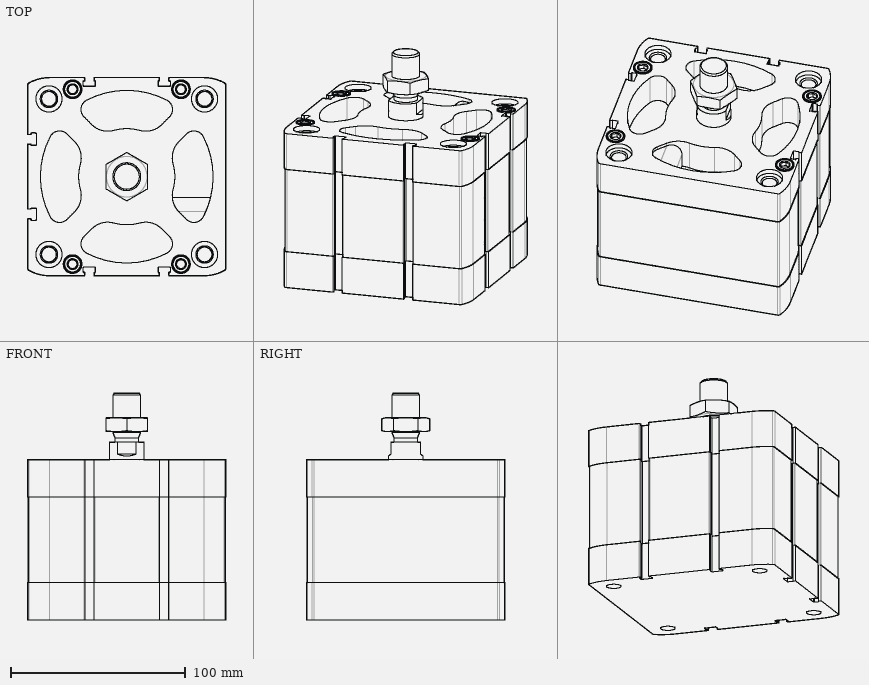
import cadquery as cq
import math

HEX_CORNER_RATIO = 2 / math.sqrt(3)

CAP_WIDTH = 113.5
CAP_HEIGHT = 21.4
BARREL_HEIGHT = 49.0
BARREL_INSET = 0.4
HOUSING_HEIGHT = 2 * CAP_HEIGHT + BARREL_HEIGHT
CORNER_START = 44.3
CORNER_RADIUS = 24.0
CORNER_EDGE_FILLET = 1.6

SLOT_NECK_INNER = 18.6
SLOT_NECK_OUTER = 24.0
SLOT_INNER = 18.1
SLOT_OUTER = 25.0
SLOT_LIP = 1.6
SLOT_DEPTH = 5.0
SLOT_CORNER_CHAMFER = 0.5
SLOT_LIP_ROUND = 0.5

POCKET_OUTER_RADIUS = 49.4
POCKET_INNER_RADIUS = 27.5
POCKET_DEPTH = 18.7
RIB_HALF_WIDTH = 6.9
POCKET_OUTER_FILLET = 6.0
POCKET_INNER_FILLET = 13.0

PORT_Y = -20.0
PORT_BOSS_RADIUS = 8.0
PORT_BOSS_DROP = 2.0

MOUNT_PITCH = 89.0
MOUNT_HOLE_DIAMETER = 8.38
MOUNT_SINK_DIAMETER = 10.0
MOUNT_BORE_DIAMETER = 15.0
MOUNT_BORE_DEPTH = 3.0

SCREW_X = 31.0
SCREW_Y = 50.0
SCREW_RECESS_DIAMETER = 10.7
SCREW_HEAD_DIAMETER = 10.0
SCREW_HEAD_CHAMFER = 0.5
SOCKET_MOUTH_DIAMETER = 6.2
SOCKET_FLATS = 5.0
SOCKET_DEPTH = 3.0
DRILL_POINT_ANGLE = 140.0

ROD_DIAMETER = 20.0
ROD_EXPOSED = 10.0
ROD_FLATS = 17.0
ROD_FLAT_LENGTH = 6.8
ROD_FLAT_RUNOUT_ANGLE = 36.0
THREAD_DIAMETER = 16.0
THREAD_CORE_DIAMETER = 14.38
THREAD_LENGTH = 28.0
UNDERCUT_DIAMETER = 13.5
UNDERCUT_LENGTH = 2.5
FLARE_LENGTH = 3.0
THREAD_END_CHAMFER = 1.1

NUT_FLATS = 24.0
NUT_HEIGHT = 8.0
NUT_GAP = 6.0
NUT_TOP_RADIUS = 11.6
NUT_CHAMFER_ANGLE = 15.0

ROD_BASE_Z = HOUSING_HEIGHT - CAP_HEIGHT
ROD_SHOULDER_Z = HOUSING_HEIGHT + ROD_EXPOSED
NUT_Z = ROD_SHOULDER_Z + NUT_GAP


def block(inset, z, height):
    """Square block whose corners are shallow arcs tangent to the +-Y faces, set in from the caps."""
    half_width = CAP_WIDTH / 2 - inset
    corner_radius = CORNER_RADIUS - inset
    arc_center_y = half_width - corner_radius
    end_y = arc_center_y + math.sqrt(corner_radius**2 - (half_width - CORNER_START) ** 2)
    solid = (
        cq.Workplane("XY", origin=(0, 0, z))
        .moveTo(-CORNER_START, half_width)
        .lineTo(CORNER_START, half_width)
        .radiusArc((half_width, end_y), corner_radius)
        .lineTo(half_width, -end_y)
        .radiusArc((CORNER_START, -half_width), corner_radius)
        .lineTo(-CORNER_START, -half_width)
        .radiusArc((-half_width, -end_y), corner_radius)
        .lineTo(-half_width, end_y)
        .radiusArc((-CORNER_START, half_width), corner_radius)
        .close()
        .extrude(height)
    )
    edge_points = [(sx * half_width, sy * end_y, z + height / 2) for sx in (-1, 1) for sy in (-1, 1)]
    for point in edge_points:
        solid = solid.edges(cq.selectors.NearestToPointSelector(point)).fillet(CORNER_EDGE_FILLET - inset)
    return solid


def sensor_slot(inset, z, height, round_inner_lip):
    """Undercut groove in the +Y face, on its +X half, for a section set in from the caps."""
    face = CAP_WIDTH / 2 - inset
    lip = face - SLOT_LIP
    floor = face - SLOT_DEPTH
    outline = cq.Workplane("XY", origin=(0, 0, z))
    if round_inner_lip:
        outline = outline.moveTo(SLOT_NECK_INNER - SLOT_LIP_ROUND, face)
        outline = outline.radiusArc((SLOT_NECK_INNER, face - SLOT_LIP_ROUND), SLOT_LIP_ROUND)
    else:
        outline = outline.moveTo(SLOT_NECK_INNER, face)
    return (
        outline.lineTo(SLOT_NECK_INNER, lip)
        .lineTo(SLOT_INNER, lip)
        .lineTo(SLOT_INNER, floor)
        .lineTo(SLOT_OUTER - SLOT_CORNER_CHAMFER, floor)
        .lineTo(SLOT_OUTER, floor + SLOT_CORNER_CHAMFER)
        .lineTo(SLOT_OUTER, lip - SLOT_CORNER_CHAMFER)
        .lineTo(SLOT_NECK_OUTER, lip)
        .lineTo(SLOT_NECK_OUTER, face - SLOT_LIP_ROUND)
        .radiusArc((SLOT_NECK_OUTER + SLOT_LIP_ROUND, face), SLOT_LIP_ROUND)
        .close()
        .extrude(height)
    )


def housing_section(inset, z, height, round_inner_lip):
    """Slotted length of the housing; the +X face has no slots."""
    section = block(inset, z, height)
    slot = sensor_slot(inset, z, height, round_inner_lip)
    mirrored_slot = slot.mirror("YZ")
    for angle in (0, 90, 180):
        section = section.cut(slot.rotate((0, 0, 0), (0, 0, 1), angle))
        section = section.cut(mirrored_slot.rotate((0, 0, 0), (0, 0, 1), angle))
    return section


def inner_corner():
    """Where a rib wall meets the inner circle of a pocket."""
    along = math.sqrt(POCKET_INNER_RADIUS**2 - RIB_HALF_WIDTH**2)
    return (along - RIB_HALF_WIDTH) / math.sqrt(2), (along + RIB_HALF_WIDTH) / math.sqrt(2)


def pocket():
    """Kidney pocket on the +Y side."""
    base_z = HOUSING_HEIGHT - POCKET_DEPTH
    ring = (
        cq.Workplane("XY", origin=(0, 0, base_z))
        .circle(POCKET_OUTER_RADIUS)
        .circle(POCKET_INNER_RADIUS)
        .extrude(POCKET_DEPTH)
    )
    apex = RIB_HALF_WIDTH * math.sqrt(2)
    reach = CAP_WIDTH
    wedge = (
        cq.Workplane("XY", origin=(0, 0, base_z))
        .polyline([(0, apex), (reach, apex + reach), (-reach, apex + reach)])
        .close()
        .extrude(POCKET_DEPTH)
    )
    sector = ring.intersect(wedge)
    sector = sector.edges("|Z").edges("<X or >X").fillet(POCKET_OUTER_FILLET)
    corner_x, corner_y = inner_corner()
    for side in (-1, 1):
        corner = (side * corner_x, corner_y, HOUSING_HEIGHT - POCKET_DEPTH / 2)
        sector = sector.edges(cq.selectors.NearestToPointSelector(corner)).fillet(POCKET_INNER_FILLET)
    return sector


def port_boss():
    """Material kept in the +X pocket: a round-shouldered step reaching to the pocket's -Y end."""
    base_z = HOUSING_HEIGHT - POCKET_DEPTH
    top_z = HOUSING_HEIGHT - PORT_BOSS_DROP
    return (
        cq.Workplane("YZ")
        .moveTo(PORT_Y + PORT_BOSS_RADIUS, base_z)
        .lineTo(PORT_Y + PORT_BOSS_RADIUS, top_z - PORT_BOSS_RADIUS)
        .radiusArc((PORT_Y, top_z), -PORT_BOSS_RADIUS)
        .lineTo(-CAP_WIDTH / 2, top_z)
        .lineTo(-CAP_WIDTH / 2, base_z)
        .close()
        .extrude(CAP_WIDTH / 2)
    )


def mounting_hole():
    """Stepped through hole on the Z axis."""
    seat_z = HOUSING_HEIGHT - MOUNT_BORE_DEPTH
    sink = (MOUNT_SINK_DIAMETER - MOUNT_HOLE_DIAMETER) / 2
    return (
        cq.Workplane("XZ")
        .moveTo(0, 0)
        .lineTo(MOUNT_HOLE_DIAMETER / 2, 0)
        .lineTo(MOUNT_HOLE_DIAMETER / 2, seat_z - sink)
        .lineTo(MOUNT_SINK_DIAMETER / 2, seat_z)
        .lineTo(MOUNT_BORE_DIAMETER / 2, seat_z)
        .lineTo(MOUNT_BORE_DIAMETER / 2, HOUSING_HEIGHT)
        .lineTo(0, HOUSING_HEIGHT)
        .close()
        .revolve(360, (0, 0), (0, 1))
    )


def screw_relief():
    """Cut on the Z axis that leaves a chamfered screw head with a hex socket."""
    top = HOUSING_HEIGHT
    head_radius = SCREW_HEAD_DIAMETER / 2
    ring = (
        cq.Workplane("XZ")
        .moveTo(head_radius - SCREW_HEAD_CHAMFER, top)
        .lineTo(head_radius, top - SCREW_HEAD_CHAMFER)
        .lineTo(SCREW_RECESS_DIAMETER / 2, top - SCREW_HEAD_CHAMFER)
        .lineTo(SCREW_RECESS_DIAMETER / 2, top)
        .close()
        .revolve(360, (0, 0), (0, 1))
    )
    corner_diameter = SOCKET_FLATS * HEX_CORNER_RATIO
    socket_z = top - SOCKET_DEPTH
    socket = cq.Workplane("XY", origin=(0, 0, socket_z)).polygon(6, corner_diameter).extrude(SOCKET_DEPTH)
    mouth_radius = SOCKET_MOUTH_DIAMETER / 2
    mouth = cq.Solid.makeCone(0, mouth_radius, mouth_radius, pnt=(0, 0, top - mouth_radius))
    point_depth = SOCKET_FLATS / 2 / math.tan(math.radians(DRILL_POINT_ANGLE / 2))
    point = cq.Solid.makeCone(0, SOCKET_FLATS / 2, point_depth, pnt=(0, 0, socket_z - point_depth))
    return ring.add(socket.union(mouth).union(point)).combine()


def housing_body():
    """Two caps and barrel with all pockets and holes."""
    body = housing_section(0, 0, CAP_HEIGHT, False)
    body = body.union(housing_section(BARREL_INSET, CAP_HEIGHT, BARREL_HEIGHT, True))
    body = body.union(housing_section(0, CAP_HEIGHT + BARREL_HEIGHT, CAP_HEIGHT, False))

    kidney = pocket()
    for angle in (0, 90, 180):
        body = body.cut(kidney.rotate((0, 0, 0), (0, 0, 1), angle))
    body = body.cut(kidney.rotate((0, 0, 0), (0, 0, 1), 270).cut(port_boss()))

    hole = mounting_hole()
    relief = screw_relief()
    for side_x in (-1, 1):
        for side_y in (-1, 1):
            body = body.cut(hole.translate((side_x * MOUNT_PITCH / 2, side_y * MOUNT_PITCH / 2, 0)))
            body = body.cut(relief.translate((side_x * SCREW_X, side_y * SCREW_Y, 0)))

    rod_hole = cq.Workplane("XY", origin=(0, 0, ROD_BASE_Z)).circle(ROD_DIAMETER / 2).extrude(CAP_HEIGHT)
    return body.cut(rod_hole)


def piston_rod():
    """Turned rod with wrench flats, undercut and plain thread cylinder."""
    top_z = ROD_SHOULDER_Z + THREAD_LENGTH
    flare_z = ROD_SHOULDER_Z + UNDERCUT_LENGTH
    rod = (
        cq.Workplane("XZ")
        .moveTo(0, ROD_BASE_Z)
        .lineTo(ROD_DIAMETER / 2, ROD_BASE_Z)
        .lineTo(ROD_DIAMETER / 2, ROD_SHOULDER_Z)
        .lineTo(UNDERCUT_DIAMETER / 2, ROD_SHOULDER_Z)
        .lineTo(UNDERCUT_DIAMETER / 2, flare_z)
        .lineTo(THREAD_DIAMETER / 2, flare_z + FLARE_LENGTH)
        .lineTo(THREAD_DIAMETER / 2, top_z - THREAD_END_CHAMFER)
        .lineTo(THREAD_CORE_DIAMETER / 2, top_z)
        .lineTo(0, top_z)
        .close()
        .revolve(360, (0, 0), (0, 1))
    )
    flat_end_z = ROD_SHOULDER_Z - ROD_FLAT_LENGTH
    flat_y = ROD_FLATS / 2
    rod_y = ROD_DIAMETER / 2
    runout = (rod_y - flat_y) * math.tan(math.radians(ROD_FLAT_RUNOUT_ANGLE))
    flat_cut = (
        cq.Workplane("YZ")
        .polyline(
            [
                (flat_y, ROD_SHOULDER_Z),
                (flat_y, flat_end_z),
                (rod_y, flat_end_z - runout),
                (rod_y, ROD_SHOULDER_Z),
            ]
        )
        .close()
        .extrude(rod_y, both=True)
    )
    return rod.cut(flat_cut).cut(flat_cut.mirror("XZ"))


def hex_nut():
    """Hex nut with both faces chamfered, bored to the thread diameter."""
    corner_radius = NUT_FLATS / 2 * HEX_CORNER_RATIO
    hexagon = cq.Workplane("XY", origin=(0, 0, NUT_Z)).polygon(6, 2 * corner_radius).extrude(NUT_HEIGHT)
    hexagon = hexagon.rotate((0, 0, 0), (0, 0, 1), 30)
    drop = (corner_radius - NUT_TOP_RADIUS) * math.tan(math.radians(NUT_CHAMFER_ANGLE))
    top_z = NUT_Z + NUT_HEIGHT
    envelope = (
        cq.Workplane("XZ")
        .polyline(
            [
                (0, NUT_Z),
                (NUT_TOP_RADIUS, NUT_Z),
                (corner_radius, NUT_Z + drop),
                (corner_radius, top_z - drop),
                (NUT_TOP_RADIUS, top_z),
                (0, top_z),
            ]
        )
        .close()
        .revolve(360, (0, 0), (0, 1))
    )
    bore = cq.Workplane("XY", origin=(0, 0, NUT_Z)).circle(THREAD_DIAMETER / 2).extrude(NUT_HEIGHT)
    return hexagon.intersect(envelope).cut(bore)


housing = housing_body()
rod = piston_rod()
nut = hex_nut()

result = cq.Compound.makeCompound([housing.val(), rod.val(), nut.val()])